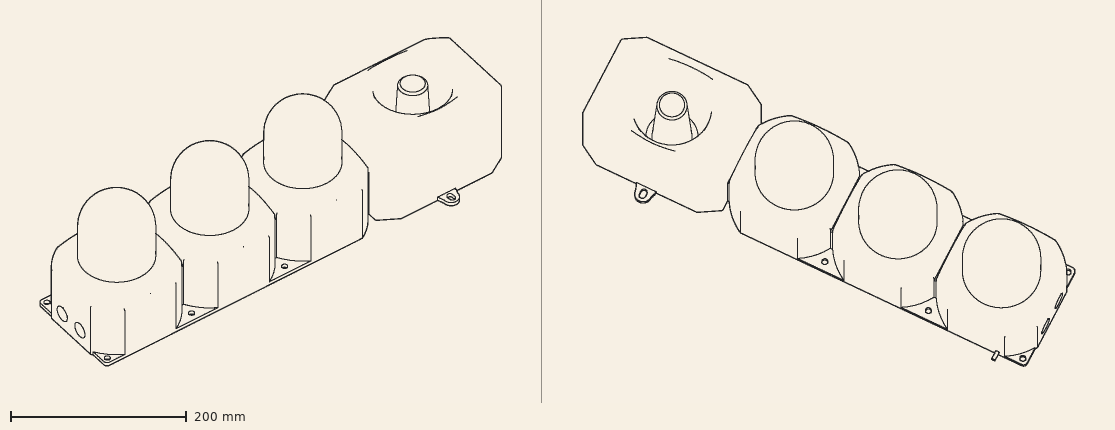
import cadquery as cq
import math

total_length = 573.5
total_height = 180.0
total_width = 167.0
row_width = 130.0
row_half = row_width / 2

beacon_count = 3
beacon_pitch = 132.0
beacon_length = 129.0
beacon_half = beacon_length / 2
corner_radius = 74.5
lid_top_radius = 51.0
lid_top_height = 90.0
lid_corner_height = 74.5
lid_rounding = 3.0
lens_radius = 45.0
beacon_centers = [beacon_half + i * beacon_pitch for i in range(beacon_count)]

link_height = 65.0
link_overlap = 0.5
link_width = 2 * math.sqrt(corner_radius**2 - beacon_half**2)

entry_spacing = 34.0
entry_height = 22.5
entry_radius = 10.0
entry_depth = 8.5

plate_thickness = 5.0
plate_setback = 2.0
plate_corner_radius = 4.5
plate_hole_radius = 3.5
front_hole_x = 58.0
front_hole_y = 8.5
gap_hole_x = 54.5

pin_radius = 2.5
pin_tip_x = -76.0
pin_y = 37.5
pin_height = 9.0
pin_embed = 6.0

horn_length = 179.0
horn_height = 126.0
horn_corner_x = 15.0
horn_corner_y = 25.0
horn_bevel = 15.5
horn_rounding = 3.5
horn_y = total_length - horn_length / 2

mouth_radius = 55.5
flare_width = 10.5
throat_radius = 30.0
mouth_floor_height = 11.5
plug_base_radius = 23.0
plug_top_radius = 17.0
plug_rounding = 3.0

ear_radius = 10.0
ear_slot_x = total_width / 2 - ear_radius
ear_slot_length = 11.5
ear_slot_width = 7.5
ear_root_half_width = 12.5


def rod(radius, height, x, y):
    """Upright cylinder standing on the base plane."""
    return cq.Workplane("XY").center(x, y).circle(radius).extrude(height)


def make_beacon(y):
    block = cq.Workplane("XY").box(row_width, beacon_length, total_height, centered=(True, True, False))
    turned = (
        cq.Workplane("XZ")
        .polyline([
            (0, 0),
            (corner_radius, 0),
            (corner_radius, lid_corner_height),
            (lid_top_radius, lid_top_height),
            (0, lid_top_height),
        ])
        .close()
        .revolve(360, (0, 0), (0, 1))
    )
    body = block.intersect(turned)
    body = body.faces("%CONE").edges().fillet(lid_rounding)
    shoulder = total_height - lens_radius
    lens = (
        cq.Workplane("XZ")
        .lineTo(lens_radius, 0)
        .lineTo(lens_radius, shoulder)
        .radiusArc((0, total_height), -lens_radius)
        .close()
        .revolve(360, (0, 0), (0, 1))
    )
    return body.union(lens).translate((0, y, 0))


def make_link(start_y, end_y):
    length = end_y - start_y + 2 * link_overlap
    link = cq.Workplane("XY").box(link_width, length, link_height, centered=(True, False, False))
    return link.translate((0, start_y - link_overlap, 0))


def make_plate():
    length = beacon_centers[-1] - plate_setback
    return (
        cq.Workplane("XY")
        .box(row_width, length, plate_thickness, centered=(True, False, False))
        .edges("|Z and <Y")
        .fillet(plate_corner_radius)
        .translate((0, plate_setback, 0))
    )


def make_plate_holes():
    places = [(front_hole_x, front_hole_y)]
    for near, far in zip(beacon_centers, beacon_centers[1:]):
        places.append((gap_hole_x, (near + far) / 2))
    both_sides = [(side * x, y) for x, y in places for side in (-1, 1)]
    return cq.Workplane("XY").pushPoints(both_sides).circle(plate_hole_radius).extrude(plate_thickness)


def make_cable_entries():
    cone = cq.Solid.makeCone(entry_radius, 0, entry_depth, cq.Vector(0, 0, entry_height), cq.Vector(0, 1, 0))
    entries = cq.Workplane("XY")
    for side in (-1, 1):
        entries = entries.add(cone.translate(cq.Vector(side * entry_spacing / 2, 0, 0)))
    return entries.combine()


def make_pin():
    length = -pin_tip_x - row_half + pin_embed
    return (
        cq.Workplane("YZ", origin=(pin_tip_x, 0, 0))
        .center(pin_y, pin_height)
        .circle(pin_radius)
        .extrude(length)
    )


def make_horn_housing():
    half_y = horn_length / 2
    flat_x = row_half - horn_corner_x
    flat_y = half_y - horn_corner_y
    return (
        cq.Workplane("XY")
        .polyline([
            (flat_x, half_y),
            (row_half, flat_y),
            (row_half, -flat_y),
            (flat_x, -half_y),
            (-flat_x, -half_y),
            (-row_half, -flat_y),
            (-row_half, flat_y),
            (-flat_x, half_y),
        ])
        .close()
        .extrude(horn_height)
        .faces(">Z")
        .chamfer(horn_bevel)
        .edges("not <Z")
        .fillet(horn_rounding)
    )


def make_horn_mouth():
    """Ring-shaped funnel to remove, leaving the centre plug standing flush with the top."""
    flare_radius = mouth_radius - flare_width
    return (
        cq.Workplane("XZ")
        .moveTo(plug_base_radius, mouth_floor_height)
        .lineTo(throat_radius, mouth_floor_height)
        .lineTo(flare_radius, horn_height - flare_width)
        .radiusArc((mouth_radius, horn_height), flare_width)
        .lineTo(plug_top_radius - plug_rounding, horn_height)
        .lineTo(plug_top_radius, horn_height - plug_rounding)
        .close()
        .revolve(360, (0, 0), (0, 1))
    )


def make_ear(side):
    root = side * row_half
    tip = side * ear_slot_x
    web = (
        cq.Workplane("XY")
        .polyline([
            (0, -ear_root_half_width),
            (root, -ear_root_half_width),
            (tip, -ear_radius),
            (tip, ear_radius),
            (root, ear_root_half_width),
            (0, ear_root_half_width),
        ])
        .close()
        .extrude(plate_thickness)
    )
    ear = web.union(rod(ear_radius, plate_thickness, tip, 0))
    slot = cq.Workplane("XY").center(tip, 0).slot2D(ear_slot_length, ear_slot_width).extrude(plate_thickness)
    return ear.cut(slot)


horn = make_horn_housing().cut(make_horn_mouth())
for ear_side in (-1, 1):
    horn = horn.union(make_ear(ear_side))

result = make_plate().union(make_pin()).union(horn.translate((0, horn_y, 0)))
for center in beacon_centers:
    result = result.union(make_beacon(center))

next_faces = [center - beacon_half for center in beacon_centers[1:]] + [total_length - horn_length]
for center, next_face in zip(beacon_centers, next_faces):
    result = result.union(make_link(center + beacon_half, next_face))

result = result.cut(make_plate_holes()).cut(make_cable_entries())